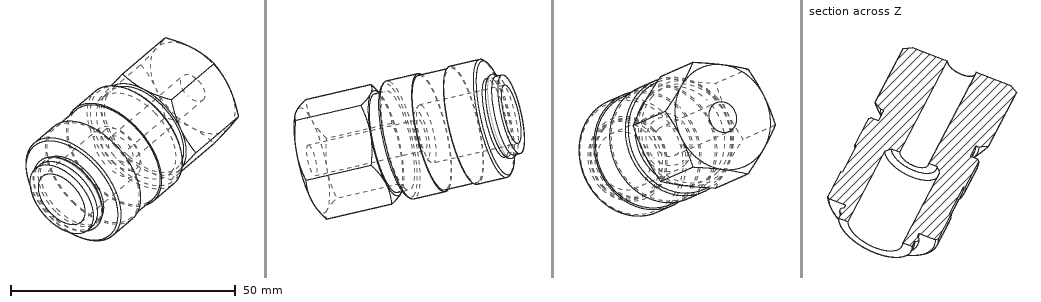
import cadquery as cq
import math


ring_center_y = 2.2
sleeve_front_y = 3.7
sleeve_length = 23.0
waist_front_y = 11.25
waist_length = 7.5
waist_back_y = waist_front_y + waist_length
sleeve_back_y = sleeve_front_y + sleeve_length
hex_length = 17.5
total_length = 47.0
hex_front_y = total_length - hex_length

spigot_radius = 18.0 / 2
sleeve_radius = 27.0 / 2
waist_radius = 26.2 / 2
neck_radius = 22.55 / 2
sleeve_chamfer = 0.5

ring_outer_radius = 19.25 / 2
ring_section_radius = 0.75

hex_across_flats = 24.0
hex_half_angle = math.radians(30)
hex_chamfer_angle = math.radians(30)

socket_radius = 13.3 / 2
seat_radius = 11.1 / 2
passage_radius = 7.0 / 2
socket_depth = 20.0
seat_taper_length = socket_radius - seat_radius

hex_flat_radius = hex_across_flats / 2
hex_corner_radius = hex_flat_radius / math.cos(hex_half_angle)
hex_chamfer_height = (hex_corner_radius - hex_flat_radius) * math.tan(hex_chamfer_angle)


def turned(points):
    """Revolve a closed (radius, y) outline about the Y axis."""
    return cq.Workplane("XY").polyline(points).close().revolve(360, (0, 0), (0, 1))


def make_barrel():
    """Spigot, waisted sleeve and neck, ending at the hexagon."""
    chamfered_radius = sleeve_radius - sleeve_chamfer
    return turned([
        (0, 0),
        (spigot_radius, 0),
        (spigot_radius, sleeve_front_y),
        (chamfered_radius, sleeve_front_y),
        (sleeve_radius, sleeve_front_y + sleeve_chamfer),
        (sleeve_radius, waist_front_y),
        (waist_radius, waist_front_y),
        (waist_radius, waist_back_y),
        (sleeve_radius, waist_back_y),
        (sleeve_radius, sleeve_back_y - sleeve_chamfer),
        (chamfered_radius, sleeve_back_y),
        (neck_radius, sleeve_back_y),
        (neck_radius, hex_front_y),
        (0, hex_front_y),
    ])


def make_sealing_ring():
    """Round-section ring partly sunk into the spigot."""
    section_center = (ring_outer_radius - ring_section_radius, ring_center_y)
    section = cq.Workplane("XY").pushPoints([section_center]).circle(ring_section_radius)
    return section.revolve(360, (0, 0), (0, 1))


def make_hexagon():
    """Hexagon with corners on the X axis and its corners turned off at both ends."""
    prism = (
        cq.Workplane("XZ", origin=(0, hex_front_y, 0))
        .polygon(6, 2 * hex_corner_radius)
        .extrude(-hex_length)
    )
    corner_envelope = turned([
        (0, hex_front_y),
        (hex_flat_radius, hex_front_y),
        (hex_corner_radius, hex_front_y + hex_chamfer_height),
        (hex_corner_radius, total_length - hex_chamfer_height),
        (hex_flat_radius, total_length),
        (0, total_length),
    ])
    return prism.intersect(corner_envelope)


def make_bore():
    """Straight socket, conical seat and a narrower passage through the hexagon end."""
    seat_y = socket_depth + seat_taper_length
    return turned([
        (0, 0),
        (socket_radius, 0),
        (socket_radius, socket_depth),
        (seat_radius, seat_y),
        (passage_radius, seat_y),
        (passage_radius, total_length),
        (0, total_length),
    ])


result = make_barrel().union(make_sealing_ring()).union(make_hexagon()).cut(make_bore())